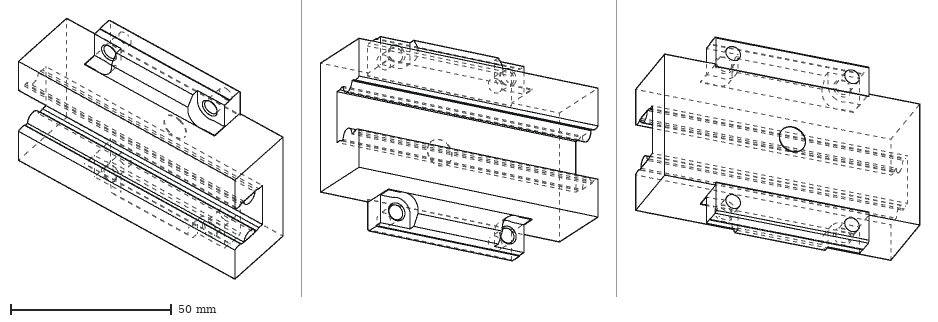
import cadquery as cq
import math

total_length = 86.0
rail_overhang = 0.1
body_length = total_length - rail_overhang
body_depth = 24.4
body_half_height = 21.7

pad_height = 0.3
pad_overlap = 0.95
centre_pad_radius = 4.4
back_y = body_depth + pad_height

flange_length = 51.6
flange_half_height = 31.52
flange_depth = 13.1
flange_step = 0.3
flange_step_depth = 5.3
flange_edge_chamfer = 0.7
bevel_depth = 2.6
bevel_height = 3.4

screw_spacing_x = 40.0
screw_offset_z = 26.5
screw_hole_diameter = 4.9
hole_countersink = 0.5
seat_radius = 4.8
seat_shelf_height = 0.3
seat_depth = 5.0

channel_floor_y = 14.0
channel_half_height = 8.5
groove_half_height = 8.95
rail_y = 7.3
rail_radius = 2.75
inner_ledge_y = 12.2
inner_groove_y = 11.0
outer_ledge_y = 2.0
outer_ledge_half_height = 8.4
outer_ledge_back_y = 3.0
outer_ledge_back_z = 8.6
outer_groove_y = 3.4

body_centre_x = body_length / 2
flange_start_x = body_centre_x - flange_length / 2
flange_front_y = back_y - flange_depth
seat_floor_y = flange_front_y + seat_depth


def make_body():
    """Channel block with half-round rails and small ledges on both channel walls."""
    rail_back_y = rail_y + rail_radius
    rail_front_y = rail_y - rail_radius
    rail_tip = groove_half_height - rail_radius
    return (
        cq.Workplane("YZ")
        .moveTo(body_depth, -body_half_height)
        .lineTo(body_depth, body_half_height)
        .lineTo(0, body_half_height)
        .lineTo(0, groove_half_height)
        .threePointArc((outer_ledge_y, outer_ledge_half_height), (outer_ledge_back_y, outer_ledge_back_z))
        .lineTo(outer_groove_y, groove_half_height)
        .lineTo(rail_front_y, groove_half_height)
        .threePointArc((rail_y, rail_tip), (rail_back_y, groove_half_height))
        .lineTo(inner_groove_y, groove_half_height)
        .lineTo(inner_ledge_y, channel_half_height)
        .lineTo(channel_floor_y, channel_half_height)
        .lineTo(channel_floor_y, -channel_half_height)
        .lineTo(inner_ledge_y, -channel_half_height)
        .lineTo(inner_groove_y, -groove_half_height)
        .lineTo(rail_back_y, -groove_half_height)
        .threePointArc((rail_y, -rail_tip), (rail_front_y, -groove_half_height))
        .lineTo(outer_groove_y, -groove_half_height)
        .lineTo(outer_ledge_back_y, -outer_ledge_back_z)
        .threePointArc((outer_ledge_y, -outer_ledge_half_height), (0, -groove_half_height))
        .lineTo(0, -body_half_height)
        .close()
        .extrude(body_length)
    )


def make_upper_rail_end():
    """Short half-round stub continuing the upper rail past the +X end."""
    return (
        cq.Workplane("YZ", origin=(body_length, 0, 0))
        .moveTo(rail_y - rail_radius, groove_half_height)
        .threePointArc(
            (rail_y, groove_half_height - rail_radius),
            (rail_y + rail_radius, groove_half_height),
        )
        .close()
        .extrude(rail_overhang)
    )


def make_seat(x, outward):
    """Open recess around one screw, rounded on the inner corner toward mid-length."""
    inner_x = x - outward * seat_radius
    outer_x = body_centre_x + outward * flange_length / 2
    floor_z = body_half_height + seat_shelf_height
    drop = screw_offset_z - floor_z
    arc_end_x = x + outward * math.sqrt(seat_radius ** 2 - drop ** 2)
    diagonal = seat_radius / math.sqrt(2)
    return (
        cq.Workplane("XZ", origin=(0, seat_floor_y, 0))
        .moveTo(outer_x, floor_z)
        .lineTo(arc_end_x, floor_z)
        .threePointArc(
            (x - outward * diagonal, screw_offset_z - diagonal),
            (inner_x, screw_offset_z),
        )
        .lineTo(inner_x, flange_half_height)
        .lineTo(outer_x, flange_half_height)
        .close()
        .extrude(seat_depth)
    )


def make_screw_hole(x):
    """Through hole with a small countersink at the seat floor."""
    radius = screw_hole_diameter / 2
    hole_axis = cq.Workplane("XZ", origin=(x, back_y, screw_offset_z))
    hole = hole_axis.circle(radius).extrude(flange_depth)
    countersink = cq.Solid.makeCone(
        radius + hole_countersink,
        radius,
        hole_countersink,
        pnt=cq.Vector(x, seat_floor_y, screw_offset_z),
        dir=cq.Vector(0, 1, 0),
    )
    return hole.union(cq.Workplane(countersink))


def make_upper_flange():
    """Beveled flange with two screw seats and a pad lapping the back of the body."""
    step_y = back_y - flange_step_depth
    lower_top = flange_half_height - flange_step
    pad_bottom = body_half_height - pad_overlap
    flange = (
        cq.Workplane("YZ", origin=(flange_start_x, 0, 0))
        .moveTo(back_y, pad_bottom)
        .lineTo(back_y, flange_half_height - flange_edge_chamfer)
        .lineTo(back_y - flange_edge_chamfer, flange_half_height)
        .lineTo(step_y, flange_half_height)
        .lineTo(step_y, lower_top)
        .lineTo(flange_front_y + bevel_depth, lower_top)
        .lineTo(flange_front_y, lower_top - bevel_height)
        .lineTo(flange_front_y, pad_bottom)
        .close()
        .extrude(flange_length)
    )
    for outward in (-1, 1):
        x = body_centre_x + outward * screw_spacing_x / 2
        flange = flange.cut(make_seat(x, outward)).cut(make_screw_hole(x))
    return flange


def make_centre_pad():
    """Round pad in the middle of the back face."""
    return (
        cq.Workplane("XZ", origin=(body_centre_x, back_y, 0))
        .circle(centre_pad_radius)
        .extrude(pad_height)
    )


result = make_body().union(make_centre_pad())
for upper_feature in (make_upper_flange(), make_upper_rail_end()):
    result = result.union(upper_feature).union(upper_feature.mirror("XY"))